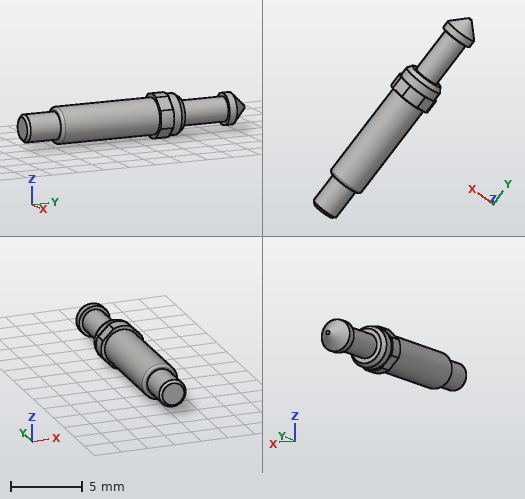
import cadquery as cq

total_length = 17.1

tail_length = 2.5
body_length = 7.5
flange_length = 1.0
shoulder_length = 1.01
head_length = 1.6
cone_length = 1.05

tail_diameter = 2.0
body_diameter = 2.65
flange_diameter = 3.2
flange_across_flats = 3.0
shoulder_diameter = 2.95
plunger_diameter = 1.8
head_diameter = 2.3
tip_diameter = 0.27

tail_chamfer = 0.19
body_fillet = 0.2
shoulder_chamfer_length = 0.36
shoulder_chamfer_depth = 0.24

tail_end = -total_length / 2
tip_end = total_length / 2
body_start = tail_end + tail_length
flange_start = body_start + body_length
shoulder_start = flange_start + flange_length
plunger_start = shoulder_start + shoulder_length
head_start = tip_end - head_length
cone_start = tip_end - cone_length


def cylinder(diameter, start, end):
    """Solid cylinder on the Y axis between two stations."""
    section = cq.Workplane("XZ", origin=(0, start, 0)).circle(diameter / 2)
    return section.extrude(start - end)


def make_tail():
    tail = cylinder(tail_diameter, tail_end, body_start)
    return tail.faces("<Y").chamfer(tail_chamfer)


def make_body():
    body = cylinder(body_diameter, body_start, flange_start)
    return body.faces("<Y").edges().fillet(body_fillet)


def make_flange():
    """Round flange with four flats facing the diagonals between X and Z."""
    flange = cylinder(flange_diameter, flange_start, shoulder_start)
    square = (
        cq.Workplane("XY")
        .box(flange_across_flats, flange_length, flange_across_flats)
        .rotate((0, 0, 0), (0, 1, 0), 45)
        .translate((0, (flange_start + shoulder_start) / 2, 0))
    )
    return flange.intersect(square)


def make_shoulder():
    shoulder = cylinder(shoulder_diameter, shoulder_start, plunger_start)
    return shoulder.faces(">Y").chamfer(shoulder_chamfer_length, shoulder_chamfer_depth)


def make_plunger():
    return cylinder(plunger_diameter, plunger_start, head_start)


def make_head():
    """Short cylinder ending in a cone with a small flat tip."""
    return (
        cq.Workplane("XY")
        .moveTo(0, head_start)
        .lineTo(head_diameter / 2, head_start)
        .lineTo(head_diameter / 2, cone_start)
        .lineTo(tip_diameter / 2, tip_end)
        .lineTo(0, tip_end)
        .close()
        .revolve(360, (0, 0, 0), (0, 1, 0))
    )


result = make_tail()
for section in (make_body(), make_flange(), make_shoulder(), make_plunger(), make_head()):
    result = result.union(section)